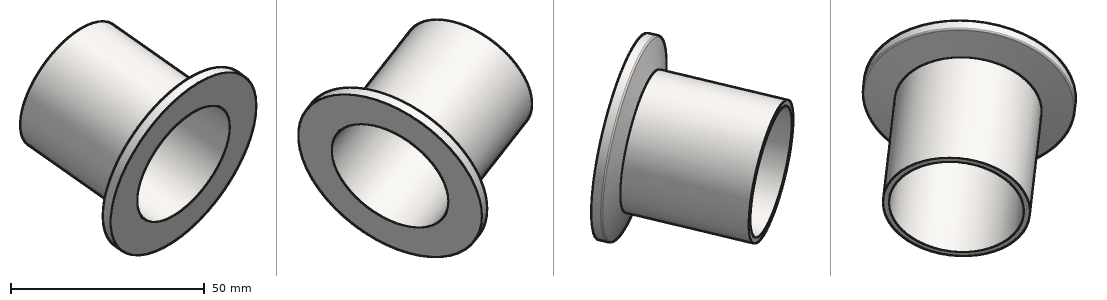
import cadquery as cq
import math

overall_length = 40.0
flange_diameter = 55.0
tube_diameter = 38.1
bore_diameter = 34.9
rim_thickness = 2.95
taper_angle = 15.0
rim_fillet = 0.5

flange_radius = flange_diameter / 2
tube_radius = tube_diameter / 2
bore_radius = bore_diameter / 2

tube_end_x = -overall_length / 2
flange_face_x = overall_length / 2
rim_back_x = flange_face_x - rim_thickness
taper_length = (flange_radius - tube_radius) * math.tan(math.radians(taper_angle))
taper_start_x = rim_back_x - taper_length

half_section = [
    (tube_end_x, bore_radius),
    (tube_end_x, tube_radius),
    (taper_start_x, tube_radius),
    (rim_back_x, flange_radius),
    (flange_face_x, flange_radius),
    (flange_face_x, bore_radius),
]
ferrule = (
    cq.Workplane("XY")
    .polyline(half_section)
    .close()
    .revolve(360, (0, 0, 0), (1, 0, 0))
)

selection_margin = 0.05
rim_back_edge = cq.selectors.BoxSelector(
    (rim_back_x - selection_margin, -flange_diameter, -flange_diameter),
    (rim_back_x + selection_margin, flange_diameter, flange_diameter),
)
result = ferrule.edges(rim_back_edge).edges("%CIRCLE").fillet(rim_fillet)